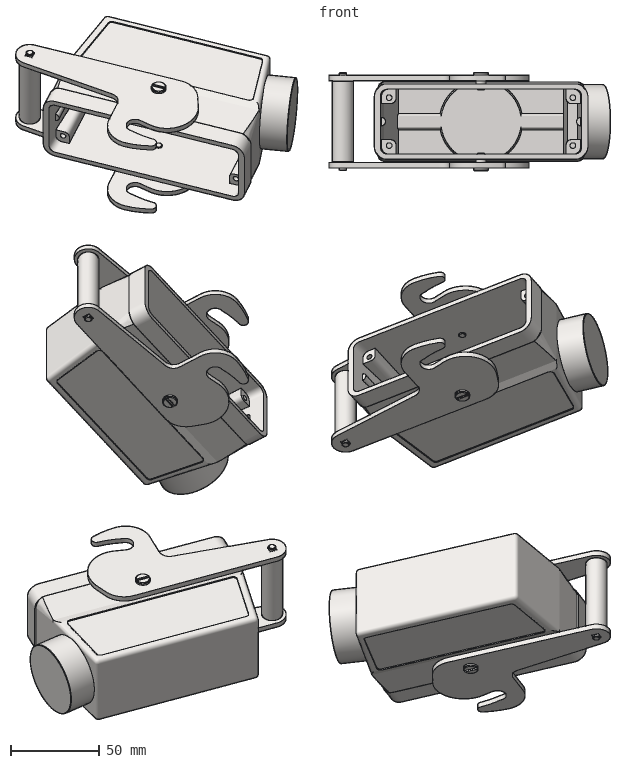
import cadquery as cq
import math


rim_half_x = 60.4
rim_half_z = 21.4
rim_depth = 11.2
rim_corner_radius = 7.3

neck_end_y = 32.2
neck_half_z = 21.2
neck_start_half_x = 59.6
neck_start_radius = 8.3
neck_end_half_x = 57.9

hood_end_y = 76.0
hood_half_z = 22.5
hood_slope_deg = 10.0
outlet_slope_deg = 11.5
hood_edge_radius = 2.4
shoulder_end_y = 36.8

panel_margin = 5.0
panel_end_y = 71.5
panel_depth = 0.8
panel_corner_radius = 2.2

outlet_diameter = 42.1
outlet_end_x = 69.2
outlet_end_y = 56.3
outlet_length = 22.3
outlet_chamfer = 0.3

mouth_half_x = 56.9
cavity_half_z = 18.3
cavity_waist_half_x = 54.7
cavity_back_half_x = 46.5
outlet_wall_x = 49.0
cavity_corner_radius = 3.8
back_wall = 3.2

wall_overlap = 1.6

post_half_gap_x = 48.1
post_half_gap_z = 10.2
post_start_y = 9.4
post_corner_radius = 2.9
post_hole_x = 52.0
post_hole_z = 13.5
post_hole_diameter = 3.2
post_hole_depth = 12.8

rib_x = 56.5
rib_radius = 2.4
rib_start_y = 9.0

pad_radius = 23.6
pad_bar_half_z = 4.6
pad_height = 3.2
pad_draft_deg = 15.0
pad_bar_edge_radius = 0.8

lever_inner_z = 23.1
lever_thickness = 3.2
lever_outer_z = lever_inner_z + lever_thickness

roller_x = -78.1
roller_y = 26.8
roller_radius = 6.0
roller_chamfer = 0.5
lever_end_radius = 8.0

rivet_diameter = 4.3
rivet_height = 1.5
rivet_chamfer = 0.5
rivet_square = 4.1

pivot_x = 0.0
pivot_y = 24.9
shoulder_diameter = 5.7
screw_tip_diameter = 4.3
screw_tip_projection = 0.5
screw_tip_chamfer = 0.5
head_diameter = 8.5
head_height = 1.6
head_chamfer = 0.5
driver_slot_width = 1.5
driver_slot_depth = 1.0

brow_centre = cq.Vector(9.5, 20.4)
brow_radius = 14.7
lobe_centre = cq.Vector(9.5, 12.5)
lobe_radius = 17.7
throat_centre = cq.Vector(-2.4, -8.0)
throat_radius = 5.0
hook_inner_bend = cq.Vector(2.7, -14.2)
hook_outer_bend = cq.Vector(5.1, -22.5)
tip_centre = cq.Vector(11.0, -18.0)
tip_radius = 2.9
tip_inner_deg = 95
tip_outer_deg = -75
heel_centre = cq.Vector(-3.0, -8.5)
heel_radius = 14.8
arm_taper_deg = 7.2
stem_fillet_radius = 6.2


def rounded_section(half_x, half_z, radius):
    return cq.Sketch().rect(2 * half_x, 2 * half_z).vertices().fillet(radius)


def plane_at(y):
    """XZ plane at distance y from the mouth, whose normal points to +Y."""
    return cq.Workplane(cq.Plane(origin=(0, y, 0), xDir=(1, 0, 0), normal=(0, 1, 0)))


def prism(points, half_z):
    """Outline in X and Y, extruded equally to both sides of Z = 0."""
    return cq.Workplane("XY").polyline(points).close().extrude(half_z, both=True)


def symmetric_outline(right_side):
    return right_side + [(-x, y) for x, y in reversed(right_side)]


def make_rim():
    section = rounded_section(rim_half_x, rim_half_z, rim_corner_radius)
    return plane_at(0).placeSketch(section).extrude(rim_depth)


def make_neck():
    """Drafted length whose corners sharpen towards the hood, cut flat on both broad faces."""
    start = rounded_section(neck_start_half_x, hood_half_z, neck_start_radius)
    end = rounded_section(neck_end_half_x, hood_half_z, hood_edge_radius)
    length = cq.Location(cq.Vector(0, 0, neck_end_y - rim_depth))
    blend = plane_at(rim_depth).placeSketch(start, end.moved(length)).loft()
    flats = plane_at(rim_depth).rect(2 * rim_half_x, 2 * neck_half_z).extrude(neck_end_y - rim_depth)
    return blend.intersect(flats)


def hood_half_x_at(y, slope_deg=hood_slope_deg):
    return neck_end_half_x - (y - neck_end_y) * math.tan(math.radians(slope_deg))


def make_hood():
    """Tapered back part; its outlet end slopes a little more than the other."""
    outline = [
        (neck_end_half_x, neck_end_y),
        (hood_half_x_at(hood_end_y, outlet_slope_deg), hood_end_y),
        (-hood_half_x_at(hood_end_y), hood_end_y),
        (-neck_end_half_x, neck_end_y),
    ]
    hood = prism(outline, hood_half_z)
    hood = hood.edges("not <Y").fillet(hood_edge_radius)
    for side in (1, -1):
        shoulder = (
            cq.Workplane("YZ")
            .polyline(
                [
                    (neck_end_y, side * neck_half_z),
                    (shoulder_end_y, side * hood_half_z),
                    (neck_end_y, side * hood_half_z),
                ]
            )
            .close()
            .extrude(neck_end_half_x, both=True)
        )
        hood = hood.cut(shoulder)
    return hood


def make_panel_recesses():
    """Shallow trapezoid recesses in the two broad faces of the hood."""
    outline = symmetric_outline(
        [
            (hood_half_x_at(shoulder_end_y) - panel_margin, shoulder_end_y),
            (hood_half_x_at(panel_end_y) - panel_margin, panel_end_y),
        ]
    )
    panel = prism(outline, hood_half_z).edges("|Z").fillet(panel_corner_radius)
    core = cq.Workplane("XY").box(2 * rim_half_x, 2 * hood_end_y, 2 * (hood_half_z - panel_depth))
    return panel.cut(core)


def make_outlet():
    """Round cable outlet, square to the sloped end of the hood."""
    tilt = math.radians(outlet_slope_deg)
    axis = cq.Vector(math.cos(tilt), math.sin(tilt), 0)
    start = cq.Vector(outlet_end_x, outlet_end_y, 0) - axis * outlet_length
    plane = cq.Plane(origin=start.toTuple(), xDir=(0, 0, 1), normal=axis.toTuple())
    outlet = cq.Workplane(plane).circle(outlet_diameter / 2).extrude(outlet_length)
    return outlet.faces(">X").chamfer(outlet_chamfer)


def make_back_pad():
    """Raised disc and bar on the cavity floor, with drafted sides."""
    floor = plane_at(hood_end_y - back_wall).transformed(rotate=(180, 0, 0))
    disc = floor.circle(pad_radius).extrude(pad_height, taper=pad_draft_deg)
    bar = floor.rect(2 * mouth_half_x, 2 * pad_bar_half_z).extrude(pad_height, taper=pad_draft_deg)
    bar = bar.faces("<Y").edges("|X").fillet(pad_bar_edge_radius)
    return disc.union(bar)


def make_posts():
    """Four square posts in the cavity corners, drilled in their ends."""
    width_x = mouth_half_x + wall_overlap - post_half_gap_x
    width_z = cavity_half_z + wall_overlap - post_half_gap_z
    length = hood_end_y - post_start_y
    posts = cq.Workplane("XY")
    for side_x in (1, -1):
        for side_z in (1, -1):
            post = (
                plane_at(post_start_y)
                .center(
                    side_x * (post_half_gap_x + width_x / 2),
                    -side_z * (post_half_gap_z + width_z / 2),
                )
                .rect(width_x, width_z)
                .extrude(length)
            )
            inner_x = "<X" if side_x > 0 else ">X"
            inner_z = "<Z" if side_z > 0 else ">Z"
            post = post.faces(inner_x).edges(inner_z).fillet(post_corner_radius)
            hole = (
                plane_at(post_start_y)
                .center(side_x * post_hole_x, -side_z * post_hole_z)
                .circle(post_hole_diameter / 2)
                .extrude(post_hole_depth)
            )
            posts = posts.add(post.cut(hole))
    return posts.combine()


def make_end_ribs():
    centres = [(rib_x, 0), (-rib_x, 0)]
    return plane_at(rib_start_y).pushPoints(centres).circle(rib_radius).extrude(hood_end_y - rib_start_y)


def make_cavity():
    """Space inside the hood, with the posts, ribs and pad left standing.

    The hood wall behind the outlet is thick, so the cavity steps in there.
    """
    floor_y = hood_end_y - back_wall
    entry = prism(
        symmetric_outline([(mouth_half_x, 0), (cavity_waist_half_x, neck_end_y)]),
        cavity_half_z,
    )
    entry = entry.faces("<X or >X").edges("<Z or >Z").fillet(cavity_corner_radius)
    inner = prism(
        [
            (outlet_wall_x, neck_end_y),
            (cavity_back_half_x, floor_y),
            (-cavity_back_half_x, floor_y),
            (-cavity_waist_half_x, neck_end_y),
        ],
        cavity_half_z,
    )
    cavity = entry.union(inner)
    return cavity.cut(make_posts()).cut(make_end_ribs()).cut(make_back_pad())


def make_housing():
    housing = make_rim().union(make_neck()).union(make_hood()).union(make_outlet())
    housing = housing.cut(make_panel_recesses()).cut(make_cavity())
    pivot_holes = (
        cq.Workplane("XY")
        .center(pivot_x, pivot_y)
        .circle(screw_tip_diameter / 2)
        .extrude(hood_half_z, both=True)
    )
    return housing.cut(pivot_holes)


def on_circle(centre, radius, degrees):
    angle = math.radians(degrees)
    return centre + cq.Vector(math.cos(angle), math.sin(angle)) * radius


def make_lever_plate():
    """One flat lever: arm, rounded body and hook, lying on Z = 0."""
    arm_centre = cq.Vector(roller_x, roller_y)
    arm_lower_end = on_circle(arm_centre, lever_end_radius, 270 - arm_taper_deg)
    stem_x = heel_centre.x - heel_radius
    drop = (stem_x - arm_lower_end.x) * math.tan(math.radians(arm_taper_deg))
    stem_corner = cq.Vector(stem_x, arm_lower_end.y - drop)

    brow_end_deg = math.degrees(
        math.asin((lobe_radius - brow_radius) / (brow_centre.y - lobe_centre.y))
    )

    to_throat = throat_centre - lobe_centre
    swing_deg = math.degrees(math.acos((lobe_radius + throat_radius) / to_throat.Length))
    lobe_end_deg = math.degrees(math.atan2(to_throat.y, to_throat.x)) + swing_deg
    lobe_mid_deg = (brow_end_deg + lobe_end_deg) / 2
    tip_mid_deg = (tip_inner_deg + tip_outer_deg) / 2

    plate = (
        cq.Workplane("XY")
        .moveTo(*on_circle(arm_centre, lever_end_radius, 90).toTuple()[:2])
        .lineTo(*on_circle(brow_centre, brow_radius, 90).toTuple()[:2])
        .threePointArc(
            on_circle(brow_centre, brow_radius, (90 + brow_end_deg) / 2),
            on_circle(brow_centre, brow_radius, brow_end_deg),
        )
        .lineTo(*on_circle(lobe_centre, lobe_radius, brow_end_deg).toTuple()[:2])
        .threePointArc(
            on_circle(lobe_centre, lobe_radius, lobe_mid_deg),
            on_circle(lobe_centre, lobe_radius, lobe_end_deg),
        )
        .lineTo(*on_circle(throat_centre, throat_radius, lobe_end_deg + 180).toTuple()[:2])
        .threePointArc(
            on_circle(throat_centre, throat_radius, 180),
            on_circle(throat_centre, throat_radius, 270),
        )
        .threePointArc(hook_inner_bend, on_circle(tip_centre, tip_radius, tip_inner_deg))
        .threePointArc(
            on_circle(tip_centre, tip_radius, tip_mid_deg),
            on_circle(tip_centre, tip_radius, tip_outer_deg),
        )
        .threePointArc(hook_outer_bend, on_circle(heel_centre, heel_radius, 270))
        .threePointArc(
            on_circle(heel_centre, heel_radius, 225),
            on_circle(heel_centre, heel_radius, 180),
        )
        .lineTo(stem_corner.x, stem_corner.y)
        .lineTo(arm_lower_end.x, arm_lower_end.y)
        .threePointArc(
            on_circle(arm_centre, lever_end_radius, 180),
            on_circle(arm_centre, lever_end_radius, 90),
        )
        .close()
        .extrude(lever_thickness)
    )
    plate = plate.edges(cq.NearestToPointSelector((stem_corner.x, stem_corner.y, lever_thickness / 2)))
    plate = plate.fillet(stem_fillet_radius)
    square_hole = cq.Workplane("XY").center(roller_x, roller_y).rect(rivet_square, rivet_square)
    pivot_hole = cq.Workplane("XY").center(pivot_x, pivot_y).circle(shoulder_diameter / 2)
    return plate.cut(square_hole.extrude(lever_thickness)).cut(pivot_hole.extrude(lever_thickness))


def upright_cylinder(radius, half_z):
    """Cylinder on the roller axis, centred on Z = 0."""
    base = cq.Workplane("XY", origin=(roller_x, roller_y, -half_z))
    return base.circle(radius).extrude(2 * half_z)


def make_roller():
    """Roller with a riveted pin at each end."""
    roller = upright_cylinder(roller_radius, lever_inner_z)
    roller = roller.faces("<Z or >Z").chamfer(roller_chamfer)
    pin = upright_cylinder(rivet_diameter / 2, lever_outer_z + rivet_height)
    pin = pin.faces("<Z or >Z").chamfer(rivet_chamfer)
    return roller.union(pin)


def make_handle():
    """Rigid handle: both levers riveted to the ends of the roller."""
    upper = make_lever_plate().translate((0, 0, lever_inner_z))
    lower = upper.mirror("XY")
    return make_roller().union(upper).union(lower)


def make_upper_screw():
    """Slotted pivot screw, seated on the housing wall and ending inside it."""
    centre = cq.Workplane("XY").center(pivot_x, pivot_y)
    tip_z = cavity_half_z - screw_tip_projection
    head_top_z = lever_outer_z + head_height

    tip = centre.workplane(offset=tip_z).circle(screw_tip_diameter / 2).extrude(neck_half_z - tip_z)
    tip = tip.faces("<Z").chamfer(screw_tip_chamfer)
    shoulder = (
        centre.workplane(offset=neck_half_z)
        .circle(shoulder_diameter / 2)
        .extrude(lever_outer_z - neck_half_z)
    )
    head = centre.workplane(offset=lever_outer_z).circle(head_diameter / 2).extrude(head_height)
    head = head.faces(">Z").chamfer(head_chamfer)
    driver_slot = (
        centre.workplane(offset=head_top_z - driver_slot_depth)
        .rect(2 * head_diameter, driver_slot_width)
        .extrude(head_height)
    )
    return tip.union(shoulder).union(head).cut(driver_slot)


housing = make_housing()
handle = make_handle()
upper_screw = make_upper_screw()
screws = []
for turn_deg in (0, 180):
    screw = upper_screw.rotate((0, pivot_y, 0), (1, pivot_y, 0), turn_deg)
    screws.append(screw.val())

result = cq.Compound.makeCompound([housing.val(), handle.val(), *screws])